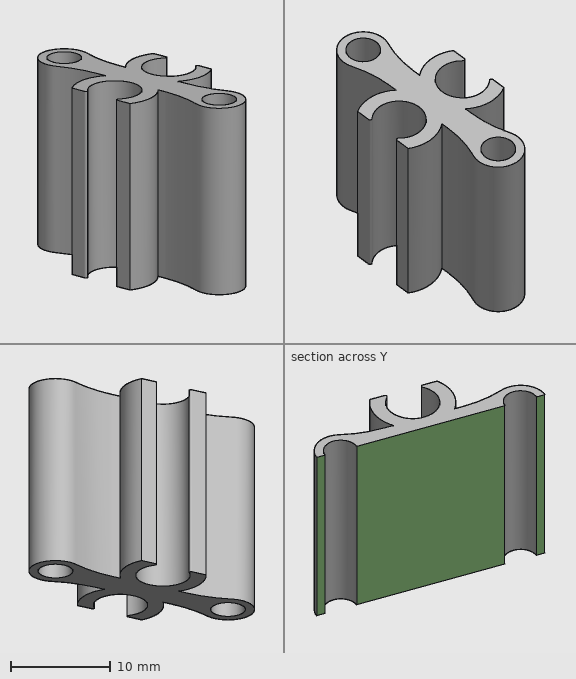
import cadquery as cq
import math

length = 25.35
width = 13.2
height = 20.0

end_radius = 2.69
end_hole_diameter = 3.5
end_offset = length / 2 - end_radius

web_half_thickness = 1.62
flare_radius = 12.68

clip_inner_radius = 2.75
clip_outer_radius = 4.35
lip_radius = 0.2
clip_offset = web_half_thickness + clip_inner_radius

flare_center_y = web_half_thickness + flare_radius
center_distance = end_radius + flare_radius
flare_start_x = end_offset - math.sqrt(center_distance**2 - flare_center_y**2)


def on_flare_to_end_line(distance):
    """Point at a distance from the flare centre, toward the end centre."""
    fraction = distance / center_distance
    x = flare_start_x + (end_offset - flare_start_x) * fraction
    y = flare_center_y * (1 - fraction)
    return x, y


def flare_midpoint():
    """Point halfway along the flare arc."""
    half_angle = math.asin((end_offset - flare_start_x) / center_distance) / 2
    x = flare_start_x + flare_radius * math.sin(half_angle)
    y = flare_center_y - flare_radius * math.cos(half_angle)
    return x, y


def make_body():
    """Web that flares smoothly into two round ends."""
    tangent_x, tangent_y = on_flare_to_end_line(flare_radius)
    middle_x, middle_y = flare_midpoint()
    return (
        cq.Workplane("XY")
        .moveTo(-flare_start_x, web_half_thickness)
        .lineTo(flare_start_x, web_half_thickness)
        .threePointArc((middle_x, middle_y), (tangent_x, tangent_y))
        .threePointArc((length / 2, 0), (tangent_x, -tangent_y))
        .threePointArc((middle_x, -middle_y), (flare_start_x, -web_half_thickness))
        .lineTo(-flare_start_x, -web_half_thickness)
        .threePointArc((-middle_x, -middle_y), (-tangent_x, -tangent_y))
        .threePointArc((-length / 2, 0), (-tangent_x, tangent_y))
        .threePointArc((-middle_x, middle_y), (-flare_start_x, web_half_thickness))
        .close()
        .extrude(height)
    )


def make_clip(side):
    """Clip ring, cut flat at the outer face and at the middle of the web."""
    ring = cq.Workplane("XY").center(0, side * clip_offset).circle(clip_outer_radius).extrude(height)
    limit = (
        cq.Workplane("XY")
        .center(0, side * width / 4)
        .rect(2 * clip_outer_radius, width / 2)
        .extrude(height)
    )
    return ring.intersect(limit)


def make_clip_bore(side):
    """Round bore of a clip, which breaks through the outer face to form its mouth."""
    return cq.Workplane("XY").center(0, side * clip_offset).circle(clip_inner_radius).extrude(height)


def make_end_holes():
    """Through holes in the two round ends."""
    return (
        cq.Workplane("XY")
        .pushPoints([(-end_offset, 0), (end_offset, 0)])
        .circle(end_hole_diameter / 2)
        .extrude(height)
    )


def round_lips(part):
    """Round the sharp vertical edges where the bores meet the outer faces."""
    mouth_half_width = math.sqrt(clip_inner_radius**2 - (width / 2 - clip_offset) ** 2)
    low_corner = (-mouth_half_width - lip_radius, -width, 0)
    high_corner = (mouth_half_width + lip_radius, width, height)
    lip_edges = cq.selectors.BoxSelector(low_corner, high_corner)
    return part.edges("|Z").edges(lip_edges).fillet(lip_radius)


sides = (-1, 1)
result = make_body()
for side in sides:
    result = result.union(make_clip(side))
for side in sides:
    result = result.cut(make_clip_bore(side))
result = round_lips(result)
result = result.cut(make_end_holes())